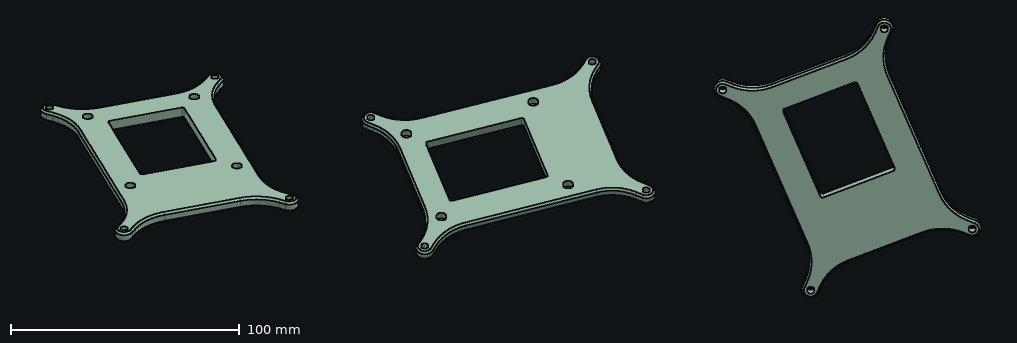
import cadquery as cq

LENGTH = 109.8
WIDTH = 84.2
THICKNESS = 5.0
EDGE_CHAMFER = 1.0

BODY_LENGTH = 90.0
BODY_WIDTH = 64.0
ARM_RADIUS = 4.0
ARM_ANGLE = 45.0
ARM_REACH = 33.0
ARM_BLEND_RADIUS = 22.0
ARM_HOLE_DIAMETER = 3.2
ARM_TIP_X = LENGTH / 2 - ARM_RADIUS
ARM_TIP_Y = WIDTH / 2 - ARM_RADIUS

WINDOW_LENGTH = 45.0
WINDOW_WIDTH = 35.0
WINDOW_CENTER_X = -10.0
WINDOW_CORNER_RADIUS = 1.0

BLIND_SPACING_X = 58.3
BLIND_SPACING_Y = 49.2
BLIND_CENTER_X = -9.8
BLIND_DIAMETER = 4.4
BLIND_FLOOR = 1.1
BLIND_DEPTH = THICKNESS - BLIND_FLOOR


def arm(side_x, side_y):
    """Round-ended bar running from one corner tip diagonally into the body."""
    bar = (
        cq.Workplane("XY")
        .center(-ARM_REACH / 2, 0)
        .rect(ARM_REACH, 2 * ARM_RADIUS)
        .extrude(THICKNESS)
    )
    tip = cq.Workplane("XY").circle(ARM_RADIUS).extrude(THICKNESS)
    turn = side_x * side_y * ARM_ANGLE
    if side_x < 0:
        turn += 180
    return (
        bar.union(tip)
        .rotate((0, 0, 0), (0, 0, 1), turn)
        .translate((side_x * ARM_TIP_X, side_y * ARM_TIP_Y, 0))
    )


def plate():
    """Body with blended arms and chamfered top and bottom outlines."""
    body = cq.Workplane("XY").rect(BODY_LENGTH, BODY_WIDTH).extrude(THICKNESS)
    long_sides = cq.selectors.BoxSelector(
        (-BODY_LENGTH / 2, -BODY_WIDTH / 2 - EDGE_CHAMFER, 0),
        (BODY_LENGTH / 2, BODY_WIDTH / 2 + EDGE_CHAMFER, THICKNESS),
    )
    short_sides = cq.selectors.BoxSelector(
        (-BODY_LENGTH / 2 - EDGE_CHAMFER, -BODY_WIDTH / 2, 0),
        (BODY_LENGTH / 2 + EDGE_CHAMFER, BODY_WIDTH / 2, THICKNESS),
    )
    for side_x in (-1, 1):
        for side_y in (-1, 1):
            body = body.union(arm(side_x, side_y))
    junctions = cq.selectors.SumSelector(long_sides, short_sides)
    blended = body.edges("|Z").edges(junctions).fillet(ARM_BLEND_RADIUS)
    return blended.faces("<Z or >Z").edges().chamfer(EDGE_CHAMFER)


def window():
    """Through opening with rounded corners."""
    return (
        cq.Workplane("XY")
        .center(WINDOW_CENTER_X, 0)
        .rect(WINDOW_LENGTH, WINDOW_WIDTH)
        .extrude(THICKNESS)
        .edges("|Z")
        .fillet(WINDOW_CORNER_RADIUS)
    )


def arm_holes():
    """Through holes concentric with the arm tips."""
    return (
        cq.Workplane("XY")
        .rect(2 * ARM_TIP_X, 2 * ARM_TIP_Y, forConstruction=True)
        .vertices()
        .circle(ARM_HOLE_DIAMETER / 2)
        .extrude(THICKNESS)
    )


def blind_holes():
    """Four flat-bottomed holes sunk from the top face."""
    return (
        cq.Workplane("XY", origin=(BLIND_CENTER_X, 0, THICKNESS))
        .rect(BLIND_SPACING_X, BLIND_SPACING_Y, forConstruction=True)
        .vertices()
        .circle(BLIND_DIAMETER / 2)
        .extrude(-BLIND_DEPTH)
    )


result = plate().cut(window()).cut(arm_holes()).cut(blind_holes())